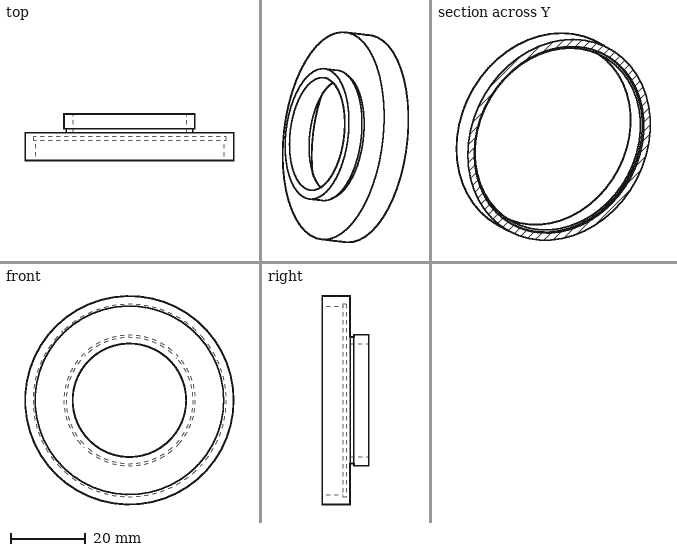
import cadquery as cq

flange_diameter = 56.0
flange_length = 7.5
recess_diameter = 50.6
recess_depth = 6.5
bore_diameter = 30.4
collar_diameter = 35.2
collar_length = 4.0

groove_width = 1.0
groove_depth = 0.6
neck_diameter = collar_diameter - 2 * groove_depth
undercut_diameter = recess_diameter + 2 * groove_depth

undercut_front = recess_depth - groove_width
collar_front = flange_length + groove_width
total_length = collar_front + collar_length


def disc(diameter, y_start, length):
    """Solid cylinder along +Y that starts at y_start."""
    return cq.Workplane("XZ", origin=(0, y_start, 0)).circle(diameter / 2).extrude(-length)


def ring_body():
    """Flange, the narrower neck behind it and the collar at the back."""
    flange = disc(flange_diameter, 0, flange_length)
    neck = disc(neck_diameter, flange_length, groove_width)
    collar = disc(collar_diameter, collar_front, collar_length)
    return flange.union(neck).union(collar)


def recess_cutter():
    """Round recess in the open face of the flange, with a relief undercut at its floor."""
    recess = disc(recess_diameter, 0, recess_depth)
    undercut = disc(undercut_diameter, undercut_front, groove_width)
    return recess.union(undercut)


def bore_cutter():
    """Round hole through the whole part."""
    return disc(bore_diameter, 0, total_length)


result = ring_body().cut(recess_cutter()).cut(bore_cutter())